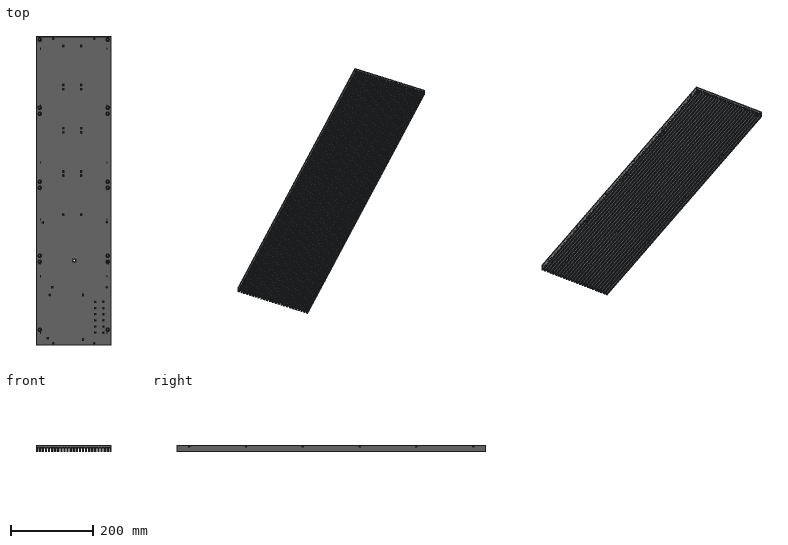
import cadquery as cq

width = 182.0
length = 750.0
height = 15.0
base_thickness = 6.0
fin_pitch = 7.5
fin_thickness = 3.2
gap_count = 24
fin_height = height - base_thickness
gap_width = fin_pitch - fin_thickness
top_z = height / 2

mount_x = 82.5
mount_start_y = 367.5
mount_sections = 4
mount_section_length = 165.0
mount_section_gap = 15.0
mount_diameter = 4.2
counterbore_diameter = 8.0
counterbore_depth = 4.5

module_count = 4
module_hole_diameter = 3.3
module_hole_span_x = 44.0
module_hole_span_y = 95.0
module_pitch = 105.0
module_centre_x = -3.6
module_start_y = 352.5

grid_columns_x = (51.8, 71.9)
grid_start_y = -269.6
grid_pitch = 15.0
grid_rows = 6

end_hole_x = 50.0
end_hole_y = 370.0
screw_hole_points = [
    (-74.5, -76.4),
    (80.0, -76.1),
    (-52.0, -233.8),
    (80.1, -233.8),
    (-58.4, -252.8),
    (22.4, -252.8),
    (-63.6, -358.0),
    (22.4, -361.0),
]
small_hole_diameter = 2.5
screw_hole_diameter = 3.0
base_hole_depth = base_thickness

large_hole_point = (1.5, -169.2)
large_hole_diameter = 7.0

side_hole_count = 6
side_hole_pitch = 138.2
side_hole_z = 4.7
side_hole_diameter = 3.2
side_hole_depth = 10.0


def finned_plate():
    """Plate with equal slots cut along its underside, leaving the fins."""
    plate = cq.Workplane("XY").box(width, length, height)
    first_x = -fin_pitch * (gap_count - 1) / 2
    gap_centres = [(first_x + i * fin_pitch, 0) for i in range(gap_count)]
    gaps = (
        cq.Workplane("XY", origin=(0, 0, -height / 2))
        .pushPoints(gap_centres)
        .rect(gap_width, length)
        .extrude(fin_height)
    )
    return plate.cut(gaps)


def top_holes(points, diameter, depth):
    """Cylinders going down from the top face."""
    top = cq.Workplane("XY", origin=(0, 0, top_z))
    return top.pushPoints(points).circle(diameter / 2).extrude(-depth)


def mount_points():
    """Four holes for each mounting section: two at each of its ends along Y."""
    points = []
    for section in range(mount_sections):
        start_y = mount_start_y - section * (mount_section_length + mount_section_gap)
        for y in (start_y, start_y - mount_section_length):
            points += [(-mount_x, y), (mount_x, y)]
    return points


def module_points():
    """Four corner holes for each rectangle."""
    points = []
    for module in range(module_count):
        start_y = module_start_y - module * module_pitch
        for y in (start_y, start_y - module_hole_span_y):
            for side in (-1, 1):
                points.append((module_centre_x + side * module_hole_span_x / 2, y))
    return points


def grid_points():
    """Two columns of evenly spaced holes."""
    return [(x, grid_start_y - row * grid_pitch) for x in grid_columns_x for row in range(grid_rows)]


def end_points():
    """Two holes close to each end of the plate."""
    return [(x, y) for x in (-end_hole_x, end_hole_x) for y in (-end_hole_y, end_hole_y)]


def side_holes(side):
    """Row of holes drilled inward from the side at +X (side = 1) or -X (side = -1)."""
    first_y = -side_hole_pitch * (side_hole_count - 1) / 2
    points = [(first_y + i * side_hole_pitch, side_hole_z) for i in range(side_hole_count)]
    face = cq.Workplane("YZ", origin=(side * width / 2, 0, 0))
    return face.pushPoints(points).circle(side_hole_diameter / 2).extrude(-side * side_hole_depth)


result = finned_plate()
result = result.cut(top_holes(mount_points(), mount_diameter, height))
result = result.cut(top_holes(mount_points(), counterbore_diameter, counterbore_depth))
result = result.cut(top_holes(module_points(), module_hole_diameter, base_hole_depth))
result = result.cut(top_holes(grid_points(), small_hole_diameter, base_hole_depth))
result = result.cut(top_holes(end_points(), small_hole_diameter, base_hole_depth))
result = result.cut(top_holes(screw_hole_points, screw_hole_diameter, base_hole_depth))
result = result.cut(top_holes([large_hole_point], large_hole_diameter, height))
for side in (-1, 1):
    result = result.cut(side_holes(side))